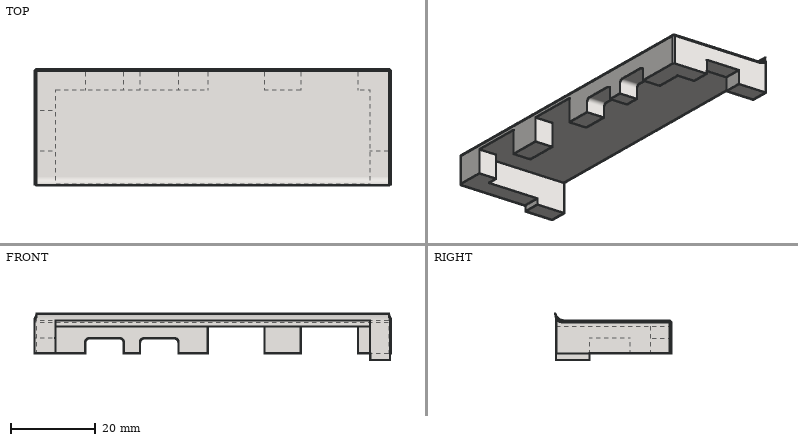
import cadquery as cq
import math

length = 84.7
depth = 27.62
height = 11.03

wall_bottom = 1.6
plate_bottom = 7.9
plate_top = 9.43
edge_chamfer = 0.5

lip_radius = 2.0
lip_overhang = 0.2
lip_base = 9.6
lip_tip_width = 0.03
rim_stock = 1.0
lip_axis_z = plate_top + lip_radius
lip_axis_y = lip_tip_width + math.sqrt(lip_radius**2 - (lip_axis_z - height) ** 2)
flare_radius = ((height - lip_base) ** 2 + lip_overhang**2) / (2 * lip_overhang)

front_y = lip_overhang
wall_thickness = 5.0
right_wall_x = length - wall_thickness
plate_edge_recess = 0.1
back_wall_y = depth - wall_thickness
back_wall_end = 41.2
back_block_start = 54.6
back_block_end = 63.3
corner_block_start = 76.8

window_starts = (12.1, 25.1)
window_width = 9.1
window_top = 5.15
window_corner_radius = 1.0
opening_start = 8.2
opening_end = 17.75
opening_top = 5.25

foot_depth = 8.0
foot_inset = 0.2
foot_end = length - foot_inset


def box(x0, x1, y0, y1, z0, z1):
    """Axis-aligned block between opposite corners."""
    return cq.Workplane("XY").box(x1 - x0, y1 - y0, z1 - z0, centered=False).translate((x0, y0, z0))


def flare_mid_point():
    """Point halfway along the flare arc, which leaves the front face vertically."""
    half_angle = math.asin((height - lip_base) / flare_radius) / 2
    y = front_y - flare_radius * (1 - math.cos(half_angle))
    return y, lip_base + flare_radius * math.sin(half_angle)


def make_blank():
    """Full-height solid with a thick front rim, chamfered along its back and both top ends."""
    rim_front_y = -rim_stock
    lip_mid_y = lip_axis_y - lip_radius * math.sin(math.pi / 4)
    lip_mid_z = lip_axis_z - lip_radius * math.cos(math.pi / 4)
    blank = (
        cq.Workplane("YZ")
        .moveTo(rim_front_y, 0)
        .lineTo(rim_front_y, lip_axis_z)
        .lineTo(lip_axis_y - lip_radius, lip_axis_z)
        .threePointArc((lip_mid_y, lip_mid_z), (lip_axis_y, plate_top))
        .lineTo(depth, plate_top)
        .lineTo(depth, 0)
        .close()
        .extrude(length)
    )
    blank = blank.faces(">Y").edges("|Z or >Z").chamfer(edge_chamfer)
    lip_end_arcs = blank.edges("%CIRCLE")
    return lip_end_arcs.chamfer(edge_chamfer)


def shape_lip_front(body):
    """Trim the rim to the flared front face and to the height of the lip tip."""
    outer_y = -2 * rim_stock
    outer_z = lip_axis_z + rim_stock
    trim = (
        cq.Workplane("YZ")
        .moveTo(outer_y, 0)
        .lineTo(front_y, 0)
        .lineTo(front_y, lip_base)
        .threePointArc(flare_mid_point(), (0, height))
        .lineTo(lip_axis_y, height)
        .lineTo(lip_axis_y, outer_z)
        .lineTo(outer_y, outer_z)
        .close()
        .extrude(length)
    )
    return body.cut(trim)


def leave_foot(body):
    """Raise the underside to the wall bottom everywhere but at the foot."""
    foot_back_y = front_y + foot_depth
    body = body.cut(box(0, length, foot_back_y, depth, 0, wall_bottom))
    body = body.cut(box(0, right_wall_x, 0, foot_back_y, 0, wall_bottom))
    return body.cut(box(foot_end, length, 0, foot_back_y, 0, wall_bottom))


def open_underside(body):
    """Clear the space inside the walls and the gaps in the back wall."""
    body = body.cut(box(wall_thickness, right_wall_x, 0, back_wall_y, 0, plate_bottom))
    for x0, x1 in ((back_wall_end, back_block_start), (back_block_end, corner_block_start)):
        body = body.cut(box(x0, x1, back_wall_y, depth, 0, plate_bottom))
    return body


def recess_front_edge(body):
    """Set the plate edge and the strip beside the foot back from the front face."""
    recess_y = front_y + plate_edge_recess
    for x0, x1 in ((wall_thickness, right_wall_x), (foot_end, length)):
        body = body.cut(box(x0, x1, 0, recess_y, 0, plate_top))
    return body


def cut_wall_openings(body):
    """Round-cornered windows in the back wall and a square opening in the left wall."""
    for x0 in window_starts:
        window = box(x0, x0 + window_width, back_wall_y, depth, 0, window_top)
        body = body.cut(window.edges("|Y and >Z").fillet(window_corner_radius))
    return body.cut(box(0, wall_thickness, opening_start, opening_end, 0, opening_top))


result = make_blank()
result = shape_lip_front(result)
result = leave_foot(result)
result = open_underside(result)
result = recess_front_edge(result)
result = cut_wall_openings(result)